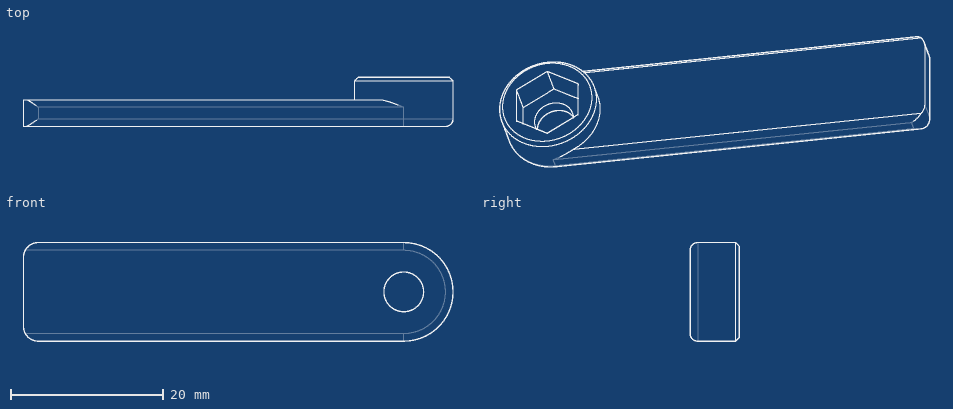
import cadquery as cq
import math

length = 56.5
width = 13.0
arm_thickness = 3.5
boss_depth = 6.5
boss_radius = width / 2
pivot_x = length - boss_radius
edge_radius = 1.0
back_trim = 0.05
corner_radius = 2.0
boss_chamfer = 0.5
hole_diameter = 5.2
hole_depth = 2.0
nut_across_flats = 8.25
nut_across_corners = nut_across_flats / math.cos(math.pi / 6)


def pivot_cylinder(diameter, start, end):
    """Cylinder on the pivot axis between two Y positions."""
    return (
        cq.Workplane("XZ", origin=(pivot_x, start, 0))
        .circle(diameter / 2)
        .extrude(start - end)
    )


def make_arm():
    """Flat bar with rounded long edges, cut to a rounded outline at its free end."""
    bar = (
        cq.Workplane("XY")
        .box(pivot_x, arm_thickness + back_trim, width, centered=(False, False, True))
        .edges("|X")
        .fillet(edge_radius)
    )
    end_outline = (
        cq.Workplane("XY")
        .box(length, arm_thickness, width, centered=(False, False, True))
        .edges("|Y and <X")
        .fillet(corner_radius)
    )
    return bar.intersect(end_outline)


def make_boss():
    """Pivot boss, rounded at the outer face and chamfered at the back."""
    return (
        pivot_cylinder(width, 0, boss_depth)
        .faces("<Y").edges().fillet(edge_radius)
        .faces(">Y").edges().chamfer(boss_chamfer)
    )


def make_nut_pocket():
    """Hexagonal pocket from the back, with two flats facing along X."""
    return (
        cq.Workplane("XZ", origin=(pivot_x, hole_depth, 0))
        .transformed(rotate=(0, 0, 30))
        .polygon(6, nut_across_corners)
        .extrude(hole_depth - boss_depth)
    )


pivot_hole = pivot_cylinder(hole_diameter, 0, hole_depth)

result = make_arm().union(make_boss()).cut(pivot_hole).cut(make_nut_pocket())